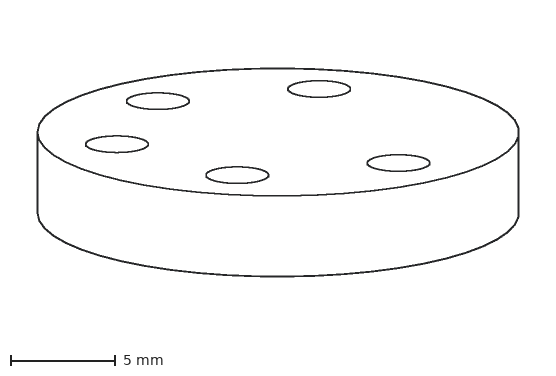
import cadquery as cq
import math

disc_diameter = 23.0
disc_thickness = 4.0
hole_diameter = 3.0
hole_circle_radius = 8.0

hole_angles = [30, 150, 210, 270, 330]


def point_on_hole_circle(angle):
    radians = math.radians(angle)
    return (hole_circle_radius * math.cos(radians), hole_circle_radius * math.sin(radians))


disc = cq.Workplane("XY").circle(disc_diameter / 2).extrude(disc_thickness)

result = (
    disc.faces(">Z")
    .workplane()
    .pushPoints([point_on_hole_circle(angle) for angle in hole_angles])
    .hole(hole_diameter)
)